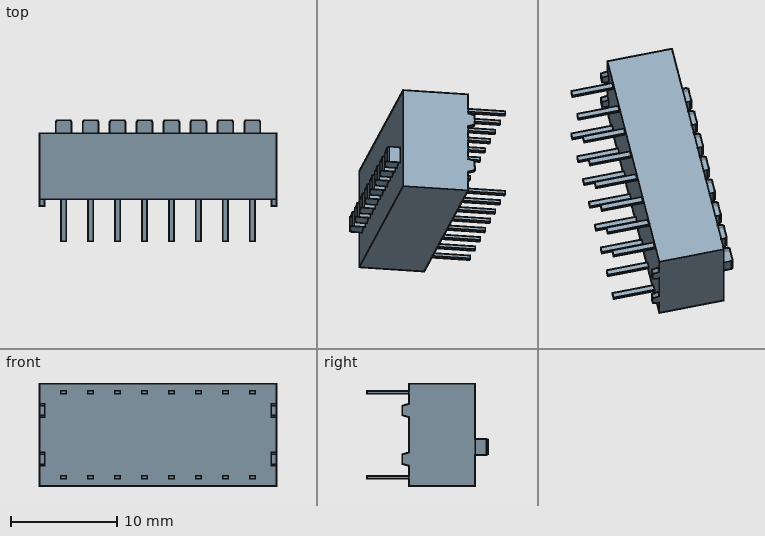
import cadquery as cq
import math

body_width = 22.35
body_depth = 6.24
body_height = 9.65

position_count = 8
position_pitch = 2.54
first_position = -position_pitch * (position_count - 1) / 2

button_size = 1.52
button_length = 1.23
button_center_z = -1.15
button_hollow_radius = 1.36
button_chamfer_length = 0.2
button_chamfer_depth = 0.11

pin_width = 0.51
pin_thickness = 0.3
pin_length = 3.95
pin_row_spacing = 8.0

standoff_width = 0.5
standoff_length = 0.63
standoff_base_height = 1.27
standoff_tip_height = 0.92
standoff_spacing = 4.58


def make_body():
    return cq.Workplane("XY").box(body_width, body_depth, body_height, centered=(True, False, True))


def make_button(x):
    """Square bar along +Y with chamfered sides at its tip and concave top and bottom faces."""
    half_size = button_size / 2
    chamfer_start = body_depth + button_length - button_chamfer_length
    tip = body_depth + button_length
    tip_half_width = half_size - button_chamfer_depth
    bar = (
        cq.Workplane("XY", origin=(x, 0, button_center_z))
        .polyline([
            (-half_size, body_depth),
            (half_size, body_depth),
            (half_size, chamfer_start),
            (tip_half_width, tip),
            (-tip_half_width, tip),
            (-half_size, chamfer_start),
        ])
        .close()
        .extrude(half_size, both=True)
    )
    hollow_offset = half_size + math.sqrt(button_hollow_radius**2 - half_size**2)
    for side in (-1, 1):
        hollow = (
            cq.Workplane("XZ", origin=(x, body_depth, button_center_z + side * hollow_offset))
            .circle(button_hollow_radius)
            .extrude(-button_length)
        )
        bar = bar.cut(hollow)
    return bar


def make_pin(x, z):
    return cq.Workplane("XZ", origin=(x, 0, z)).rect(pin_width, pin_thickness).extrude(pin_length)


def make_standoff(x, z):
    """Block that narrows in height towards its free end."""
    return (
        cq.Workplane("YZ", origin=(x, 0, z))
        .polyline([
            (0, -standoff_base_height / 2),
            (0, standoff_base_height / 2),
            (-standoff_length, standoff_tip_height / 2),
            (-standoff_length, -standoff_tip_height / 2),
        ])
        .close()
        .extrude(standoff_width / 2, both=True)
    )


result = make_body()

for position in range(position_count):
    x = first_position + position * position_pitch
    result = result.union(make_button(x))
    for side in (-1, 1):
        result = result.union(make_pin(x, side * pin_row_spacing / 2))

for end in (-1, 1):
    x = end * (body_width - standoff_width) / 2
    for side in (-1, 1):
        result = result.union(make_standoff(x, side * standoff_spacing / 2))